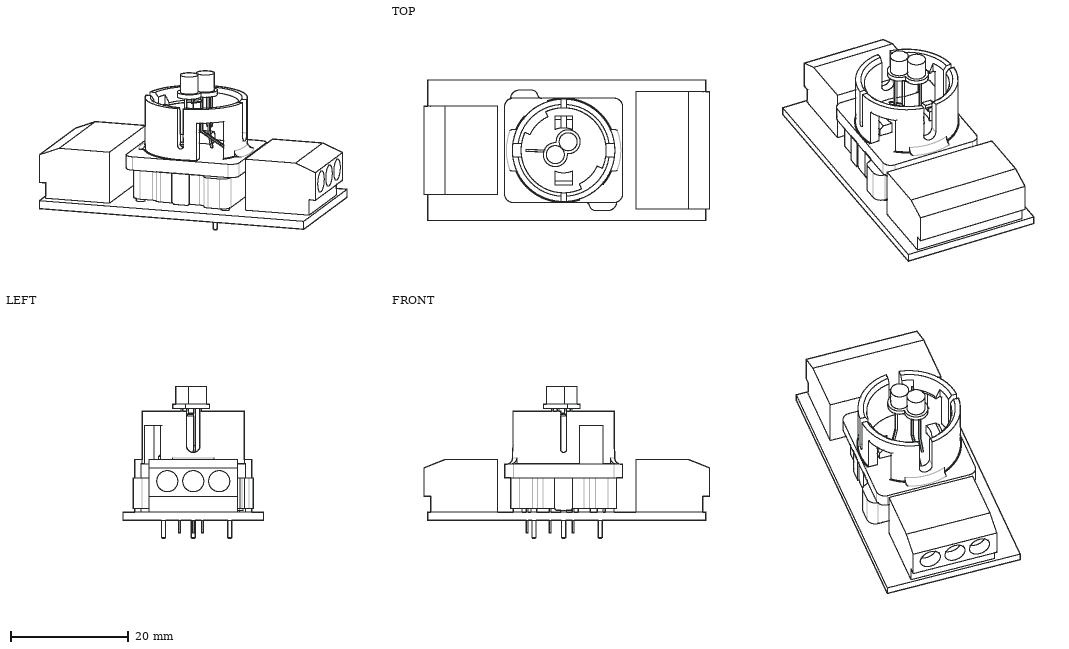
import cadquery as cq
import math

overall_length = 48.7
board_length = 47.45
board_width = 24.0
board_top = 1.4

terminal_length = 12.55
terminal_top = 10.35
terminal_chamfer_run = 3.55
terminal_chamfer_drop = 1.4
terminal_step_z = 4.1
terminal_step_depth = 1.1
left_terminal_width = 15.1
right_terminal_width = 20.0
wire_hole_diameter = 3.6
wire_hole_pitch = 4.45
wire_hole_z = 6.65
wire_hole_depth = 2.1
wire_hole_count = 3

socket_x = -0.55
body_bottom = 2.0
flange_bottom = 7.25
flange_top = 9.6
cup_top = 18.6
flange_length = 20.15
flange_width = 17.8
corner_radius = 1.5

body_half_length = 9.05
body_end_y = 7.95
body_middle_y = 8.75
body_lug_y = 10.3
body_corner_x = body_half_length - corner_radius
end_step_x = (-5.3, -3.55)
lug_step_x = (3.45, 5.45)

latch_width = 3.1
latch_face_y = 8.5
latch_bottom = 1.7
latch_chamfer = 0.3
latch_thickness = 1.45

foot_diameter = 1.5
foot_x = 7.85
lug_foot_y = 8.15
end_foot_y = 6.57
pad_diameter = 2.1
pad_position = (3.5, -6.8)

cup_radius = 17.5 / 2
cup_inner_radius = 7.25
rim_inner_radius = 7.85
rim_bevel_depth = 0.8
narrow_slot_width = 0.95
wide_slot_width = 2.3
slot_bottom = 11.6
window_x = (2.75, 6.7)
window_top = 16.15
foot_ring_radius = 8.9
foot_ring_height = 0.1
crescent_radius = 1.0
crescent_width = 7.1
crescent_corner = 1.15

hook_inner_radius = 6.35
hook_span = 40.0
hook_middle_angles = (-45.0, 135.0)

post_width = 2.95
post_inner_radius = 3.85
post_outer_y = 5.9
post_top = 11.5
post_bevel = 0.65
post_groove_depth = 0.6

led_diameter = 3.05
led_rim_diameter = 4.1
led_rim_bottom = 19.05
led_rim_top = 19.8
led_top = 22.85
led_positions = ((-1.4, -0.75), (0.8, 1.45))
lead_offset = 0.5
lead_size = 0.35
lead_bridge_z = 18.0
lead_bend_z = 12.65

thin_pin_bottom = -2.15
common_pin_position = (-6.25, 0.0)
first_pin_position = (-2.3, -1.55)
second_pin_position = (1.6, 2.35)
contact_diameter = 0.75
contact_bottom = -3.05
contact_tip_chamfer = 0.15
contact_collar_diameter = 1.0
contact_positions = ((-5.05, 5.05), (0.0, 0.0), (6.25, -6.25))


def cylinder(radius, bottom, top, position=(0, 0)):
    return cq.Workplane("XY", origin=(*position, bottom)).circle(radius).extrude(top - bottom)


def block(x_range, y_range, z_range):
    size = [high - low for low, high in (x_range, y_range, z_range)]
    corner = (x_range[0], y_range[0], z_range[0])
    return cq.Workplane("XY").box(*size, centered=False).translate(corner)


def half_turn(shape):
    return shape.rotate((0, 0, 0), (0, 0, 1), 180)


def make_terminal(width):
    """Terminal block with its wire side facing -X."""
    wire_side = -overall_length / 2
    step_x = wire_side + terminal_step_depth
    back = wire_side + terminal_length
    outline = [
        (step_x, board_top),
        (step_x, terminal_step_z),
        (wire_side, terminal_step_z),
        (wire_side, terminal_top - terminal_chamfer_drop),
        (wire_side + terminal_chamfer_run, terminal_top),
        (back, terminal_top),
        (back, board_top),
    ]
    return cq.Workplane("XZ").polyline(outline).close().extrude(width / 2, both=True)


def make_left_terminal():
    centres = [((i - (wire_hole_count - 1) / 2) * wire_hole_pitch, 0) for i in range(wire_hole_count)]
    holes = (
        cq.Workplane("YZ", origin=(-overall_length / 2, 0, wire_hole_z))
        .pushPoints(centres)
        .circle(wire_hole_diameter / 2)
        .extrude(wire_hole_depth)
    )
    return make_terminal(left_terminal_width).cut(holes)


def add_body_side(outline, turn):
    """Draw one long side and the next short side; turn = -1 gives the opposite pair."""

    def point(x, y):
        return (turn * x, turn * y)

    end_middle = point(sum(end_step_x) / 2, -(body_end_y + body_middle_y) / 2)
    lug_middle = point(sum(lug_step_x) / 2, -(body_middle_y + body_lug_y) / 2)
    return (
        outline.lineTo(*point(end_step_x[0], -body_end_y))
        .tangentArcPoint(end_middle, relative=False)
        .tangentArcPoint(point(end_step_x[1], -body_middle_y), relative=False)
        .lineTo(*point(lug_step_x[0], -body_middle_y))
        .tangentArcPoint(lug_middle, relative=False)
        .tangentArcPoint(point(lug_step_x[1], -body_lug_y), relative=False)
        .lineTo(*point(body_corner_x, -body_lug_y))
        .tangentArcPoint(point(body_half_length, corner_radius - body_lug_y), relative=False)
        .lineTo(*point(body_half_length, body_end_y - corner_radius))
        .tangentArcPoint(point(body_corner_x, body_end_y), relative=False)
    )


def make_body():
    outline = cq.Workplane("XY", origin=(0, 0, body_bottom)).moveTo(-body_corner_x, -body_end_y)
    outline = add_body_side(outline, 1)
    outline = add_body_side(outline, -1)
    body = outline.close().extrude(flange_bottom - body_bottom)

    half_width = latch_width / 2
    latch_x = (-half_width, half_width)
    recess = block(latch_x, (-body_middle_y, -latch_face_y), (body_bottom, flange_bottom))
    latch = (
        block(latch_x, (-latch_face_y, latch_thickness - latch_face_y), (latch_bottom, flange_bottom))
        .edges("|Y and <Z")
        .chamfer(latch_chamfer)
    )
    body = body.cut(recess).cut(half_turn(recess))
    return body.union(latch).union(half_turn(latch))


def make_feet():
    feet = cylinder(pad_diameter / 2, board_top, body_bottom, pad_position)
    for position in ((foot_x, -lug_foot_y), (foot_x, end_foot_y)):
        foot = cylinder(foot_diameter / 2, board_top, body_bottom, position)
        feet = feet.union(foot).union(half_turn(foot))
    return feet


def make_flange():
    return (
        cq.Workplane("XY", origin=(0, 0, flange_bottom))
        .rect(flange_length, flange_width)
        .extrude(flange_top - flange_bottom)
        .edges("|Z")
        .fillet(corner_radius)
    )


def make_crescents():
    """Concave fillet at the foot of the cup, kept only at its -X and +X sides."""
    outer = cup_radius + crescent_radius
    fillet_middle = crescent_radius * (1 - math.sqrt(0.5))
    ring = (
        cq.Workplane("XZ")
        .moveTo(rim_inner_radius, flange_top)
        .lineTo(outer, flange_top)
        .threePointArc(
            (cup_radius + fillet_middle, flange_top + fillet_middle),
            (cup_radius, flange_top + crescent_radius),
        )
        .lineTo(rim_inner_radius, flange_top + crescent_radius)
        .close()
        .revolve(360, (0, 0, 0), (0, 1, 0))
    )
    sides = (
        cq.Workplane("XY", origin=(0, 0, flange_top))
        .rect(2 * outer, crescent_width)
        .extrude(crescent_radius)
        .edges("|Z")
        .fillet(crescent_corner)
    )
    return ring.intersect(sides)


def make_slot(plane, width):
    """Slot through the cup along the normal of the plane, with a round bottom."""
    radius = width / 2
    arc_z = slot_bottom + radius
    return (
        cq.Workplane(plane)
        .moveTo(-radius, cup_top)
        .lineTo(-radius, arc_z)
        .threePointArc((0, slot_bottom), (radius, arc_z))
        .lineTo(radius, cup_top)
        .close()
        .extrude(foot_ring_radius, both=True)
    )


def make_hook(middle_angle):
    """Ring segment growing inward from the cup wall above a window."""
    return (
        cq.Workplane("XZ")
        .moveTo(hook_inner_radius, window_top)
        .lineTo(rim_inner_radius, window_top)
        .lineTo(rim_inner_radius, cup_top)
        .lineTo(hook_inner_radius, cup_top)
        .close()
        .revolve(hook_span, (0, 0, 0), (0, 1, 0))
        .rotate((0, 0, 0), (0, 0, 1), middle_angle - hook_span / 2)
    )


def make_rim_bevel():
    """Cone that bevels the inner edge of the rim and the hooks alike."""
    tip_depth = rim_bevel_depth * rim_inner_radius / (rim_inner_radius - cup_inner_radius)
    return (
        cq.Workplane("XZ")
        .moveTo(0, cup_top)
        .lineTo(rim_inner_radius, cup_top)
        .lineTo(0, cup_top - tip_depth)
        .close()
        .revolve(360, (0, 0, 0), (0, 1, 0))
    )


def make_cup():
    cup = (
        cylinder(cup_radius, flange_top, cup_top)
        .union(cylinder(foot_ring_radius, flange_top, flange_top + foot_ring_height))
        .union(make_crescents())
        .cut(cylinder(cup_inner_radius, flange_top, cup_top))
    )
    for angle in hook_middle_angles:
        cup = cup.union(make_hook(angle))
    cup = cup.cut(make_rim_bevel())
    cup = cup.cut(make_slot("XZ", narrow_slot_width)).cut(make_slot("YZ", wide_slot_width))
    window = block(window_x, (-foot_ring_radius, 0), (flange_top, window_top))
    cup = cup.cut(window).cut(half_turn(window))
    return cup


def make_posts():
    half_width = post_width / 2
    post = (
        block((-half_width, half_width), (0, post_outer_y), (flange_top, post_top))
        .edges(">Y and >Z")
        .chamfer(post_bevel)
        .cut(cylinder(post_inner_radius, flange_top, post_top))
    )
    half_groove = narrow_slot_width / 2
    groove = block(
        (-half_groove, half_groove), (0, post_outer_y), (post_top - post_groove_depth, post_top)
    )
    return post.cut(groove).union(half_turn(post))


def make_lead(*points):
    """Square wire along straight stretches, starting vertically."""
    path = cq.Workplane("XY").polyline(points)
    start = cq.Workplane("XY", origin=points[0])
    return start.rect(lead_size, lead_size).sweep(path, transition="right")


def make_leds():
    leds = cq.Workplane("XY")
    for position in led_positions:
        leds = leds.union(cylinder(led_rim_diameter / 2, led_rim_bottom, led_rim_top, position))
        leds = leds.union(cylinder(led_diameter / 2, led_rim_top, led_top, position))

    (first_x, first_y), (second_x, second_y) = led_positions
    first_outer = (first_x - lead_offset, first_y - lead_offset)
    common = (first_x + lead_offset, first_y + lead_offset)
    second_inner = (second_x - lead_offset, second_y - lead_offset)
    second_outer = (second_x + lead_offset, second_y + lead_offset)
    runs = (
        (first_outer, first_pin_position),
        (common, common_pin_position),
        (second_outer, second_pin_position),
    )
    for top, pin in runs:
        lead = make_lead(
            (*top, led_rim_top),
            (*top, lead_bend_z),
            (*pin, flange_top),
            (*pin, thin_pin_bottom),
        )
        leds = leds.union(lead)
    bridge = make_lead(
        (*second_inner, led_rim_top),
        (*second_inner, lead_bridge_z),
        (*common, lead_bridge_z),
    )
    return leds.union(bridge)


def make_contacts():
    contacts = cq.Workplane("XY")
    for position in contact_positions:
        pin = cylinder(contact_diameter / 2, contact_bottom, body_bottom, position)
        pin = pin.faces("<Z").chamfer(contact_tip_chamfer)
        collar = cylinder(contact_collar_diameter / 2, board_top, body_bottom, position)
        contacts = contacts.union(pin).union(collar)
    return contacts


socket = make_body()
for piece in (make_flange(), make_feet(), make_cup(), make_posts(), make_leds(), make_contacts()):
    socket = socket.union(piece)

board = cq.Workplane("XY").box(board_length, board_width, board_top, centered=(True, True, False))
result = (
    board.union(make_left_terminal())
    .union(half_turn(make_terminal(right_terminal_width)))
    .union(socket.translate((socket_x, 0, 0)))
)